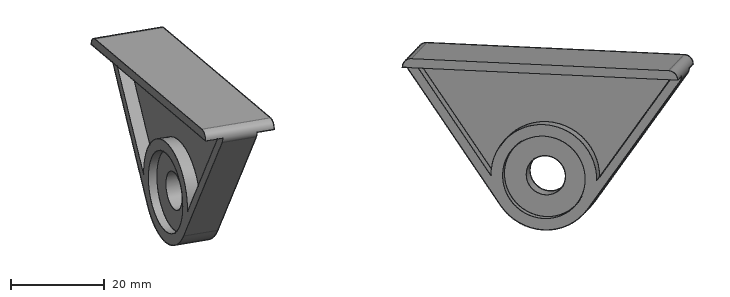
import cadquery as cq
import math

length = 60.0
plate_width = 16.0
web_thickness = plate_width / 2
rim = 2.0
boss_radius = 11.5
height = 37.0
recess_radius = 9.0
recess_depth = 2.0
bore_diameter = 8.5
pocket_depth = 3.0

top_z = height - boss_radius
plate_bottom_z = top_z - rim
corner_x = length / 2 - rim

center_distance = math.hypot(corner_x, plate_bottom_z)
side_slope = math.atan2(plate_bottom_z, corner_x) + math.asin((boss_radius - rim) / center_distance)
normal_x = math.sin(side_slope)
normal_z = -math.cos(side_slope)


def on_y_normal_plane(y):
    """Sketch plane with local axes X and Z, facing -Y, at the given Y."""
    return cq.Workplane("XZ", origin=(0, y, 0))


def bracket_profile():
    """Rounded triangle from the plate's top face down to the boss arc."""
    corner_end_x = corner_x + rim * normal_x
    corner_end_z = plate_bottom_z + rim * normal_z
    boss_x = boss_radius * normal_x
    boss_z = boss_radius * normal_z
    arc_mid_angle = side_slope / 2
    mid_x = corner_x + rim * math.cos(arc_mid_angle)
    mid_z = plate_bottom_z + rim * math.sin(arc_mid_angle)
    return (
        on_y_normal_plane(0)
        .moveTo(-corner_x, top_z)
        .lineTo(corner_x, top_z)
        .threePointArc((mid_x, mid_z), (corner_end_x, corner_end_z))
        .lineTo(boss_x, boss_z)
        .threePointArc((0, -boss_radius), (-boss_x, boss_z))
        .lineTo(-corner_end_x, corner_end_z)
        .threePointArc((-mid_x, mid_z), (-corner_x, top_z))
        .close()
    )


def top_plate():
    """Full-width slab cut from the upper part of the bracket profile."""
    slab = cq.Workplane("XY").box(length, plate_width, rim, centered=(True, True, False))
    slab = slab.translate((0, 0, plate_bottom_z))
    return bracket_profile().extrude(plate_width / 2, both=True).intersect(slab)


def pocket_cutter(start_y):
    """Triangular pocket inside the rim, leaving the round boss standing."""
    apex_z = plate_bottom_z - corner_x * math.tan(side_slope)
    triangle = (
        on_y_normal_plane(start_y)
        .polyline([(-corner_x, plate_bottom_z), (corner_x, plate_bottom_z), (0, apex_z)])
        .close()
        .extrude(pocket_depth)
    )
    boss = on_y_normal_plane(start_y).circle(boss_radius).extrude(pocket_depth)
    return triangle.cut(boss).solids(">Z")


def recess_cutter(start_y):
    """Shallow round recess in the boss face."""
    return on_y_normal_plane(start_y).circle(recess_radius).extrude(recess_depth)


result = bracket_profile().extrude(web_thickness / 2, both=True).union(top_plate())

front_face_y = -web_thickness / 2
back_face_y = web_thickness / 2
for pocket_y in (front_face_y + pocket_depth, back_face_y):
    result = result.cut(pocket_cutter(pocket_y))
for recess_y in (front_face_y + recess_depth, back_face_y):
    result = result.cut(recess_cutter(recess_y))

bore = on_y_normal_plane(back_face_y).circle(bore_diameter / 2).extrude(web_thickness)
result = result.cut(bore)